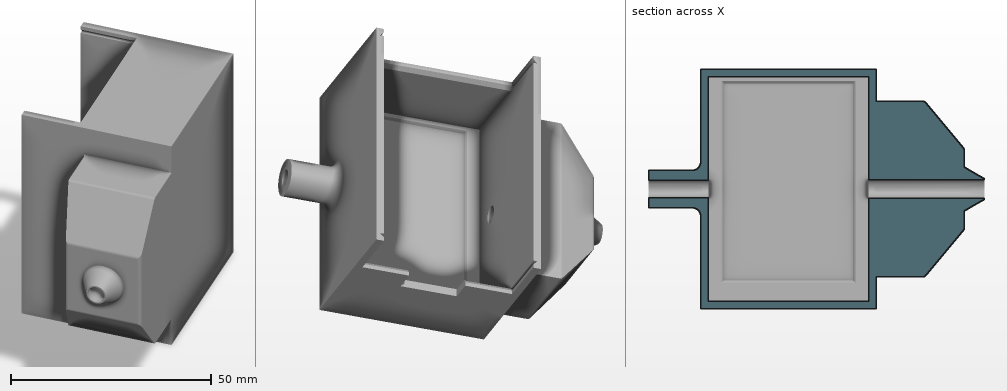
import cadquery as cq

BOX_X = 40.0
BOX_Y = 44.0
BOX_Z = 60.0
WALL = 2.0

LID_X = 15.0
DOVETAIL = 1.0
OVERRUN = 1.0

NOTCH_X = 6.0
NOTCH_Y = 15.0

SEAT_Y = 33.4
SEAT_Z = 50.3
SEAT_TOP_GAP = 1.0
SEAT_DEPTH = 0.6

AXIS_X = 30.0
AXIS_Z = BOX_Z / 2

TUBE_D = 9.5
TUBE_LENGTH = 13.0
TUBE_FILLET = 2.0
TUBE_BORE_D = 4.2

HOOD_X_MIN = 17.0
HOOD_Z = 44.0
HOOD_LENGTH = 22.0
HOOD_STRAIGHT = 12.0
HOOD_END_X_MIN = 20.0
HOOD_END_Z = 20.0
HOOD_FILLET = 1.0

NOZZLE_BASE_D = 11.0
NOZZLE_TIP_D = 5.2
NOZZLE_LENGTH = 5.0
NOZZLE_BORE_D = 4.5


def block(x_min, x_max, y_min, y_max, z_min, z_max):
    """Box given by its limits along each axis."""
    size = (x_max - x_min, y_max - y_min, z_max - z_min)
    return cq.Workplane("XY").box(*size, centered=False).translate((x_min, y_min, z_min))


def y_axis_plane(y):
    """Workplane facing -Y, centred on the common bore axis."""
    return cq.Workplane("XZ", origin=(AXIS_X, y, AXIS_Z))


def make_shell():
    """Box with one open side (-X)."""
    outer = block(0, BOX_X, 0, BOX_Y, 0, BOX_Z)
    inner = block(-OVERRUN, BOX_X - WALL, WALL, BOX_Y - WALL, WALL, BOX_Z - WALL)
    return outer.cut(inner)


def make_lid_recess():
    """Cutter for the recess in the top plate, wider at the inner face of the plate."""
    z_inner = BOX_Z - WALL
    length = LID_X + OVERRUN
    width = BOX_Y - 2 * WALL
    straight = block(-OVERRUN, LID_X, WALL, BOX_Y - WALL, z_inner, BOX_Z + OVERRUN)
    undercut = (
        cq.Workplane("XY", origin=(-OVERRUN, BOX_Y / 2, z_inner))
        .center((length + DOVETAIL) / 2, 0)
        .rect(length + DOVETAIL, width + 2 * DOVETAIL)
        .workplane(offset=DOVETAIL)
        .center(-DOVETAIL / 2, 0)
        .rect(length, width)
        .loft(ruled=True)
    )
    return straight.union(undercut)


def make_notch():
    """Cutter for the finger notch in the bottom plate."""
    y_min = (BOX_Y - NOTCH_Y) / 2
    return block(0, LID_X + NOTCH_X, y_min, y_min + NOTCH_Y, -OVERRUN, WALL)


def make_panel_seat():
    """Cutter for the seat in the back wall, narrowing at 45 degrees towards its floor."""
    z_centre = BOX_Z - WALL - SEAT_TOP_GAP - SEAT_Z / 2
    return (
        cq.Workplane("YZ", origin=(BOX_X - WALL, BOX_Y / 2, z_centre))
        .rect(SEAT_Y, SEAT_Z)
        .workplane(offset=SEAT_DEPTH)
        .rect(SEAT_Y - 2 * SEAT_DEPTH, SEAT_Z - 2 * SEAT_DEPTH)
        .loft(ruled=True)
    )


def make_hood():
    """Hood with its end tapered on three sides and flush with the back of the box."""
    z_mid = BOX_Z / 2
    plan = (
        cq.Workplane("XY")
        .polyline([
            (HOOD_X_MIN, 0),
            (BOX_X, 0),
            (BOX_X, -HOOD_LENGTH),
            (HOOD_END_X_MIN, -HOOD_LENGTH),
            (HOOD_X_MIN, -HOOD_STRAIGHT),
        ])
        .close()
        .extrude(BOX_Z)
    )
    side = (
        cq.Workplane("YZ")
        .polyline([
            (0, z_mid - HOOD_Z / 2),
            (-HOOD_STRAIGHT, z_mid - HOOD_Z / 2),
            (-HOOD_LENGTH, z_mid - HOOD_END_Z / 2),
            (-HOOD_LENGTH, z_mid + HOOD_END_Z / 2),
            (-HOOD_STRAIGHT, z_mid + HOOD_Z / 2),
            (0, z_mid + HOOD_Z / 2),
        ])
        .close()
        .extrude(BOX_X)
    )
    shoulder = cq.selectors.BoxSelector(
        (0, -HOOD_STRAIGHT - OVERRUN, 0),
        (BOX_X - OVERRUN, -HOOD_STRAIGHT + OVERRUN, BOX_Z),
    )
    hood = plan.intersect(side)
    hood = hood.edges(shoulder).fillet(HOOD_FILLET)
    return hood.faces("<Y").edges().fillet(HOOD_FILLET)


def make_hood_foot():
    """Concave fillet strip between the hood's -X side and the -Y wall."""
    return (
        cq.Workplane("XY", origin=(0, 0, (BOX_Z - HOOD_Z) / 2))
        .moveTo(HOOD_X_MIN, 0)
        .lineTo(HOOD_X_MIN, -HOOD_FILLET)
        .radiusArc((HOOD_X_MIN - HOOD_FILLET, 0), -HOOD_FILLET)
        .close()
        .extrude(HOOD_Z)
    )


def make_tube():
    """Tube with a concave fillet at its foot, turned about the bore axis."""
    radius = TUBE_D / 2
    return (
        cq.Workplane("XY", origin=(AXIS_X, BOX_Y, AXIS_Z))
        .lineTo(radius + TUBE_FILLET, 0)
        .radiusArc((radius, TUBE_FILLET), TUBE_FILLET)
        .lineTo(radius, TUBE_LENGTH)
        .lineTo(0, TUBE_LENGTH)
        .close()
        .revolve(360, (0, 0), (0, 1))
    )


def make_nozzle():
    """Cone on the end face of the hood."""
    return (
        y_axis_plane(-HOOD_LENGTH)
        .circle(NOZZLE_BASE_D / 2)
        .workplane(offset=NOZZLE_LENGTH)
        .circle(NOZZLE_TIP_D / 2)
        .loft()
    )


def make_tube_bore():
    """Cutter for the bore through the tube and the +Y wall."""
    length = TUBE_LENGTH + WALL
    return y_axis_plane(BOX_Y + TUBE_LENGTH).circle(TUBE_BORE_D / 2).extrude(length)


def make_nozzle_bore():
    """Cutter for the bore through the -Y wall, the hood and the nozzle."""
    length = WALL + HOOD_LENGTH + NOZZLE_LENGTH
    return y_axis_plane(WALL).circle(NOZZLE_BORE_D / 2).extrude(length)


top_lid_recess = make_lid_recess()
bottom_lid_recess = top_lid_recess.mirror("XY", (0, 0, BOX_Z / 2))

result = make_shell()
for cutter in (top_lid_recess, bottom_lid_recess, make_notch(), make_panel_seat()):
    result = result.cut(cutter)
for addition in (make_hood(), make_hood_foot(), make_tube(), make_nozzle()):
    result = result.union(addition)
result = result.cut(make_tube_bore()).cut(make_nozzle_bore())